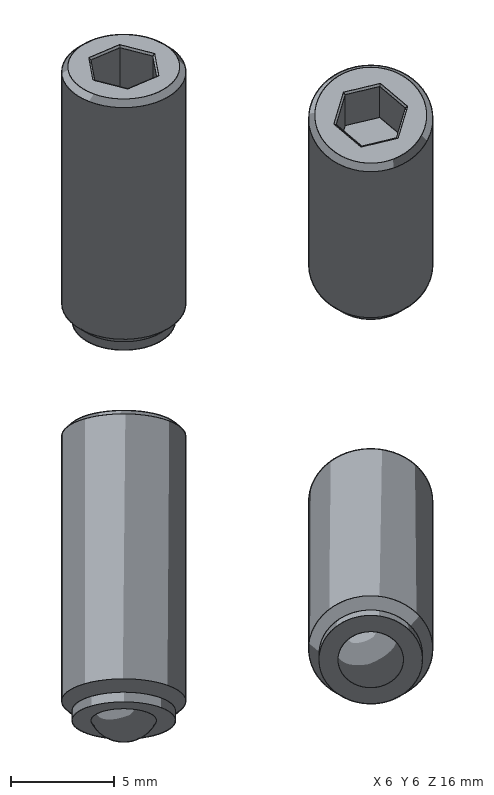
import cadquery as cq
import math

body_diameter = 6.0
overall_length = 16.0
top_chamfer = 0.3

collar_diameter = 5.0
collar_height = 0.5

ball_diameter = 3.5
ball_projection = 1.0

hex_sides = 6
hex_across_flats = 3.0
hex_depth = 3.0
hex_chamfer = 0.1

body_radius = body_diameter / 2
collar_radius = collar_diameter / 2
body_length = overall_length - ball_projection
shoulder_height = body_radius - collar_radius
ball_radius = ball_diameter / 2
ball_center_z = ball_radius - ball_projection


def corner_diameter(across_flats):
    """Across-corners size of a regular hexagon."""
    return across_flats / math.cos(math.pi / hex_sides)


def make_body():
    """Turned body: collar, conical shoulder, shank and chamfered top."""
    return (
        cq.Workplane("XZ")
        .moveTo(0, 0)
        .lineTo(collar_radius, 0)
        .lineTo(collar_radius, collar_height)
        .lineTo(body_radius, collar_height + shoulder_height)
        .lineTo(body_radius, body_length - top_chamfer)
        .lineTo(body_radius - top_chamfer, body_length)
        .lineTo(0, body_length)
        .close()
        .revolve(360, (0, 0, 0), (0, 1, 0))
    )


def make_ball():
    """Ball seated in the collar, projecting below its end face."""
    return cq.Workplane("XY").sphere(ball_radius).translate((0, 0, ball_center_z))


def make_hex_socket():
    """Hexagonal key socket with a chamfered mouth, corners on the X axis."""
    socket = (
        cq.Workplane("XY")
        .workplane(offset=body_length)
        .polygon(hex_sides, corner_diameter(hex_across_flats))
        .extrude(-hex_depth)
    )
    mouth = (
        cq.Workplane("XY")
        .workplane(offset=body_length)
        .polygon(hex_sides, corner_diameter(hex_across_flats + 2 * hex_chamfer))
        .workplane(offset=-hex_chamfer)
        .polygon(hex_sides, corner_diameter(hex_across_flats))
        .loft(ruled=True)
    )
    return socket.union(mouth)


result = make_body().union(make_ball()).cut(make_hex_socket())